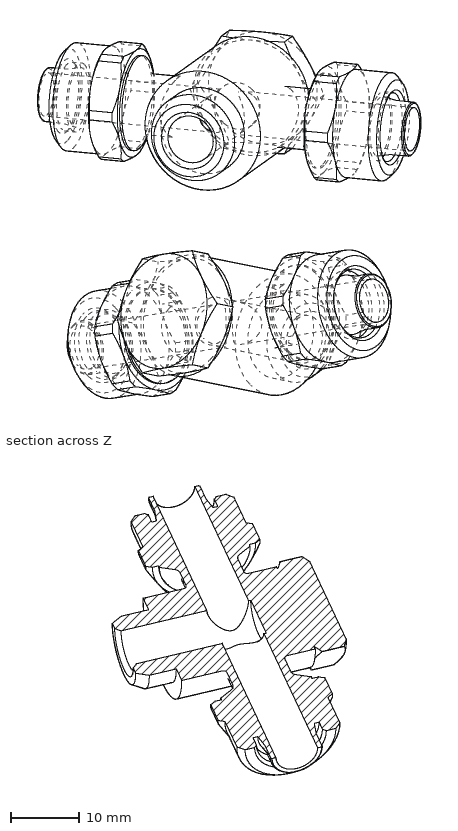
import cadquery as cq
import math


body_radius = 9.0
body_front_y = -11.3
body_back_y = 9.35
stub_radius = 6.5
stub_end_y = -17.2
stub_chamfer_radial = 1.0
stub_chamfer_length = 1.75
head_across_flats = 17.0
head_height = 4.95
bolt_bore_radius = 3.55
bore_countersink = 0.75

branch_end_x = 28.5
tube_radius = 4.0
tube_tip_chamfer = 0.15
cross_bore_radius = 3.2
stem_radius = 4.5
root_fillet = 0.5
collar_radius = 7.0
collar_end_x = 14.2
collar_taper_length = 1.4
collar_fillet = 0.85

nut_inner_x = 14.55
nut_outer_x = 25.55
nut_hex_outer_x = 19.05
nut_radius = 8.0
nut_chamfer = 0.95
nut_corner_radius = 8.85
nut_mouth_radius = 5.55
nut_mouth_taper = 0.45
nut_pocket_depth = 2.0
sleeve_radius = 4.4

selection_margin = 0.05

hex_chamfer_slope = math.tan(math.radians(30))


def turned(points, axis_end):
    """Revolve a closed half profile about the line from the origin to axis_end."""
    return cq.Workplane("XY").polyline(points).close().revolve(360, (0, 0), axis_end)


def hex_bar(plane, across_flats, start, length):
    """Hexagonal bar with its flats facing +Z and -Z."""
    corner_diameter = across_flats / math.cos(math.pi / 6)
    return cq.Workplane(plane).workplane(offset=start).polygon(6, corner_diameter).extrude(length)


def inside_box(x_min, x_max, half_width):
    """Selector for edges lying between two X planes and within half_width of the X axis."""
    reach = half_width + selection_margin
    return cq.selectors.BoxSelector(
        (x_min - selection_margin, -reach, -reach),
        (x_max + selection_margin, reach, reach),
        boundingbox=True,
    )


def make_head():
    """Hexagonal bolt head, chamfered at both ends down to its inscribed circle."""
    flat_radius = head_across_flats / 2
    corner_radius = flat_radius / math.cos(math.pi / 6)
    chamfer_length = (corner_radius - flat_radius) * hex_chamfer_slope
    top_y = body_back_y + head_height
    envelope = turned(
        [
            (0, body_back_y),
            (flat_radius, body_back_y),
            (corner_radius, body_back_y + chamfer_length),
            (corner_radius, top_y - chamfer_length),
            (flat_radius, top_y),
            (0, top_y),
        ],
        (0, 1),
    )
    return hex_bar("XZ", head_across_flats, -top_y, head_height).intersect(envelope)


def make_stub():
    """Cylindrical end of the bolt with a tapered tip."""
    tip_radius = stub_radius - stub_chamfer_radial
    return turned(
        [
            (0, body_front_y),
            (stub_radius, body_front_y),
            (stub_radius, stub_end_y + stub_chamfer_length),
            (tip_radius, stub_end_y),
            (0, stub_end_y),
        ],
        (0, 1),
    )


def make_body():
    """Banjo body with the two branch stems blended into it."""
    body = cq.Workplane("XZ", origin=(0, body_back_y, 0)).circle(body_radius)
    body = body.extrude(body_back_y - body_front_y)
    stems = cq.Workplane("YZ").circle(stem_radius).extrude(collar_end_x, both=True)
    joined = body.union(stems)
    return joined.edges(inside_box(-body_radius, body_radius, stem_radius)).fillet(root_fillet)


def make_collar():
    """Tapered collar between stem and nut, with a concave blend into the stem."""
    taper_end_x = collar_end_x - collar_taper_length
    collar = turned(
        [
            (taper_end_x - collar_fillet, 0),
            (taper_end_x - collar_fillet, stem_radius),
            (taper_end_x, stem_radius),
            (collar_end_x, collar_radius),
            (nut_inner_x, collar_radius),
            (nut_inner_x, 0),
        ],
        (1, 0),
    )
    waist = collar.edges(inside_box(taper_end_x, taper_end_x, collar_radius))
    return waist.fillet(collar_fillet)


def make_nut():
    """Clamping nut: chamfered hexagon, round skirt and tapered mouth."""
    hex_length = nut_hex_outer_x - nut_inner_x
    chamfer_length = (nut_corner_radius - nut_radius) * hex_chamfer_slope
    envelope = turned(
        [
            (nut_inner_x, 0),
            (nut_inner_x, nut_radius),
            (nut_inner_x + chamfer_length, nut_corner_radius),
            (nut_hex_outer_x - chamfer_length, nut_corner_radius),
            (nut_hex_outer_x, nut_radius),
            (nut_hex_outer_x, 0),
        ],
        (1, 0),
    )
    hexagon = hex_bar("YZ", 2 * nut_radius, nut_inner_x, hex_length).intersect(envelope)
    skirt = turned(
        [
            (nut_hex_outer_x, 0),
            (nut_hex_outer_x, nut_radius),
            (nut_outer_x - nut_chamfer, nut_radius),
            (nut_outer_x, nut_radius - nut_chamfer),
            (nut_outer_x, 0),
        ],
        (1, 0),
    )
    pocket_radius = nut_mouth_radius - nut_mouth_taper
    pocket = turned(
        [
            (nut_outer_x - nut_pocket_depth, 0),
            (nut_outer_x - nut_pocket_depth, pocket_radius),
            (nut_outer_x - nut_mouth_taper, pocket_radius),
            (nut_outer_x, nut_mouth_radius),
            (nut_outer_x, 0),
        ],
        (1, 0),
    )
    return hexagon.union(skirt).cut(pocket)


def make_tube():
    """Hose tube inside the nut; it widens into a sleeve from the nut mouth inwards."""
    sleeve_start_x = nut_outer_x - nut_pocket_depth
    return turned(
        [
            (sleeve_start_x, 0),
            (sleeve_start_x, sleeve_radius),
            (nut_outer_x, tube_radius),
            (branch_end_x - tube_tip_chamfer, tube_radius),
            (branch_end_x, tube_radius - tube_tip_chamfer),
            (branch_end_x, 0),
        ],
        (1, 0),
    )


def make_bolt_bore():
    """Blind bore from the stub tip, reaching just past the cross bore."""
    return turned(
        [
            (0, stub_end_y),
            (bolt_bore_radius + bore_countersink, stub_end_y),
            (bolt_bore_radius, stub_end_y + bore_countersink),
            (bolt_bore_radius, bolt_bore_radius),
            (0, bolt_bore_radius),
        ],
        (0, 1),
    )


branch = make_collar().union(make_nut()).union(make_tube())
cross_bore = cq.Workplane("YZ").circle(cross_bore_radius).extrude(branch_end_x, both=True)

result = make_body().union(make_head()).union(make_stub())
result = result.union(branch).union(branch.mirror("YZ"))
result = result.cut(make_bolt_bore()).cut(cross_bore)